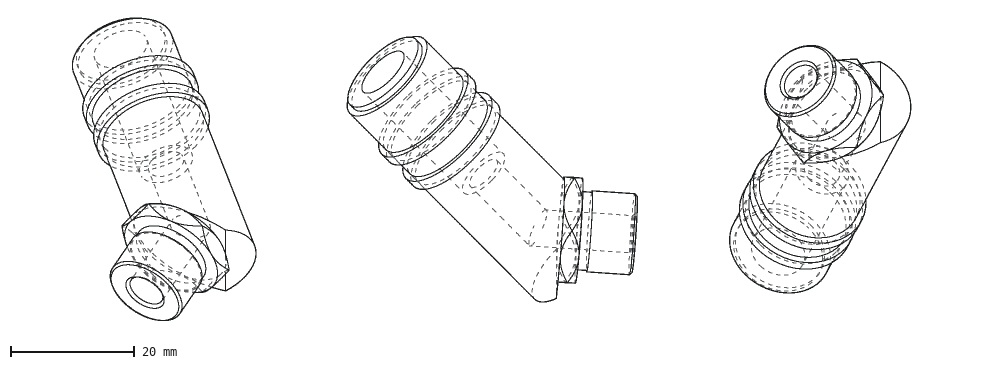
import cadquery as cq
import math

barrel_diameter = 17.0
barrel_length = 47.0
spigot_diameter = 15.0
spigot_length = 1.0
socket_diameter = 9.0
socket_depth = 25.0
bore_diameter = 6.0

ring_diameter = 19.0
ring_width = 2.0
ring_starts = (10.0, 16.0)

outlet_angle = math.radians(45)
bend_x = 38.5
seat_offset = 3.65

hex_flats = barrel_diameter
hex_corners = hex_flats / math.cos(math.pi / 6)
hex_thickness = 3.0
neck_diameter = 12.7
neck_length = 1.7
nozzle_diameter = 13.157
nozzle_length = 7.3
nozzle_chamfer = 0.38
mouth_chamfer = 0.5
outlet_length = seat_offset + hex_thickness + neck_length + nozzle_length

outlet_direction = cq.Vector(math.cos(outlet_angle), -math.sin(outlet_angle), 0)
across_direction = cq.Vector(math.sin(outlet_angle), math.cos(outlet_angle), 0)
bend_point = cq.Vector(bend_x, 0, 0)


def barrel_plane(x):
    """Workplane square to the barrel axis at the given X."""
    return cq.Workplane("YZ", origin=(x, 0, 0))


def outlet_plane(distance):
    """Workplane square to the outlet axis, the given distance past the bend."""
    origin = bend_point + outlet_direction * distance
    return cq.Workplane(cq.Plane(origin, across_direction, outlet_direction))


def make_barrel():
    """Stepped round bar cut off square at its end and sloping at the outlet seat."""
    spigot = barrel_plane(0).circle(spigot_diameter / 2).extrude(spigot_length)
    main = barrel_plane(spigot_length).circle(barrel_diameter / 2).extrude(barrel_length - spigot_length)
    beyond_seat = outlet_plane(seat_offset).rect(2 * barrel_length, 2 * barrel_diameter).extrude(barrel_length)
    return spigot.union(main).cut(beyond_seat)


def make_hex():
    """Hexagon whose corners are coned from both faces, the cones meeting at mid thickness."""
    half_thickness = hex_thickness / 2
    hexagon = outlet_plane(seat_offset).polygon(6, hex_corners).extrude(hex_thickness)
    double_cone = (
        outlet_plane(seat_offset)
        .circle(hex_flats / 2)
        .workplane(offset=half_thickness)
        .circle(hex_corners / 2)
        .loft(combine=True)
        .union(
            outlet_plane(seat_offset + half_thickness)
            .circle(hex_corners / 2)
            .workplane(offset=half_thickness)
            .circle(hex_flats / 2)
            .loft(combine=True)
        )
    )
    return hexagon.intersect(double_cone)


def make_nozzle():
    """Round outlet end on its relieved neck."""
    neck_start = seat_offset + hex_thickness
    neck = outlet_plane(neck_start).circle(neck_diameter / 2).extrude(neck_length)
    nozzle = outlet_plane(neck_start + neck_length).circle(nozzle_diameter / 2).extrude(nozzle_length)
    nozzle = nozzle.faces(cq.selectors.DirectionMinMaxSelector(outlet_direction)).chamfer(nozzle_chamfer)
    return neck.union(nozzle)


def make_passage():
    """Wide socket, then a bore that turns through a mitred bend and flares at the mouth."""
    socket = barrel_plane(0).circle(socket_diameter / 2).extrude(socket_depth)
    mouth_point = bend_point + outlet_direction * outlet_length
    path = cq.Workplane("XY").polyline([(0, 0), (bend_point.x, bend_point.y), (mouth_point.x, mouth_point.y)])
    bore = barrel_plane(0).circle(bore_diameter / 2).sweep(path, transition="right")
    flare = (
        outlet_plane(outlet_length)
        .circle(bore_diameter / 2 + mouth_chamfer)
        .workplane(offset=-mouth_chamfer)
        .circle(bore_diameter / 2)
        .loft(combine=True)
    )
    return socket.union(bore).union(flare)


def make_ring(start):
    """Square-edged ring fitted round the barrel."""
    return barrel_plane(start).circle(ring_diameter / 2).circle(barrel_diameter / 2).extrude(ring_width)


elbow = make_barrel().union(make_hex()).union(make_nozzle()).cut(make_passage())
rings = [make_ring(start) for start in ring_starts]

result = cq.Compound.makeCompound([*elbow.solids().vals(), *[ring.val() for ring in rings]])